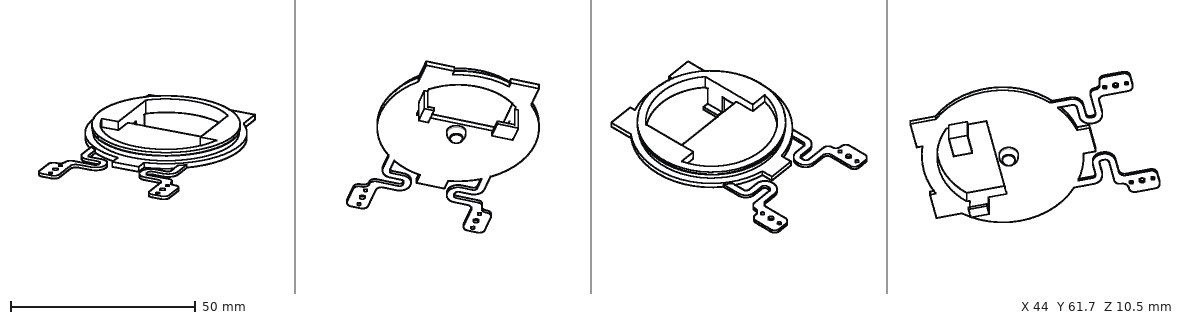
import cadquery as cq
import math

flange_diameter = 44.0
flange_thickness = 1.5

neck_diameter = 39.75
neck_height = 1.5
lip_diameter = 40.3
lip_height = 1.0
ring_top = flange_thickness + neck_height + lip_height

recess_diameter = 35.7
window_half_width = 12.4
window_front_y = 1.75
shoulder_front_y = -4.15

tab_width = 8.0
front_tab_end_y = -25.0
rear_tab_end_y = 22.13
rear_tab_center_x = 12.05

leg_thickness = 1.0
leg_depth = 6.5
leg_front_y = 6.85
leg_rear_y = 12.0
left_foot_length = 6.0
right_foot_length = 2.75

button_center_y = -1.65
button_diameter = 5.25
button_rim_height = 0.55
button_rounding = 1.85
button_tip_diameter = 3.5
button_height = 2.55

arm_thickness = 0.9
arm_width = 2.0
arm_outer_x = 14.45
arm_inner_x = arm_outer_x - arm_width
arm_root_y = -14.0
strip_width = 1.85
upper_strip_rear_y = -23.2
upper_strip_front_y = upper_strip_rear_y - strip_width
lower_strip_rear_y = -27.7
lower_strip_front_y = lower_strip_rear_y - strip_width
loop_outer_x = 5.25
loop_inner_x = loop_outer_x + arm_width
bend_inner_radius = 1.0
bend_outer_radius = bend_inner_radius + arm_width

pad_inner_x = 13.6
pad_width = 6.0
pad_outer_x = pad_inner_x + pad_width
pad_neck_x = 16.05
pad_rear_y = -31.0
pad_front_y = -39.6
pad_corner_radius = 1.6
pad_hole_x = 16.2
pad_hole_center_y = -35.1
pad_hole_spacing = 3.0
pad_hole_diameter = 1.5
pad_small_hole_diameter = 1.0


def box(x_range, y_range, z_range):
    """Axis-aligned block between the given limits."""
    size = [high - low for low, high in (x_range, y_range, z_range)]
    corner = (x_range[0], y_range[0], z_range[0])
    return cq.Workplane("XY").box(*size, centered=False).translate(corner)


def disc(diameter, bottom, height):
    """Upright cylinder on the ring axis."""
    return cq.Workplane("XY").workplane(offset=bottom).circle(diameter / 2).extrude(height)


def make_flange():
    """Round plate with one front tab and two rear tabs."""
    half_tab = tab_width / 2
    thickness = (0, flange_thickness)
    flange = disc(flange_diameter, 0, flange_thickness)
    flange = flange.union(box((-half_tab, half_tab), (front_tab_end_y, 0), thickness))
    for center_x in (-rear_tab_center_x, rear_tab_center_x):
        tab_sides = (center_x - half_tab, center_x + half_tab)
        flange = flange.union(box(tab_sides, (0, rear_tab_end_y), thickness))
    return flange


def make_ring():
    """Solid neck and lip before the recess is cut."""
    neck = disc(neck_diameter, flange_thickness, neck_height)
    return neck.union(disc(lip_diameter, flange_thickness + neck_height, lip_height))


def make_recess():
    """Space inside the ring, without the two shoulders beside the window."""
    radius = recess_diameter / 2
    recess = disc(recess_diameter, flange_thickness, ring_top - flange_thickness)
    heights = (flange_thickness, ring_top)
    for sides in ((-radius, -window_half_width), (window_half_width, radius)):
        recess = recess.cut(box(sides, (shoulder_front_y, radius), heights))
    return recess


def make_window():
    """Opening through the floor, bounded at the rear by the recess wall."""
    sides = (-window_half_width, window_half_width)
    window = box(sides, (window_front_y, recess_diameter / 2), (0, flange_thickness))
    return window.intersect(disc(recess_diameter, 0, flange_thickness))


def make_leg(side, foot_length):
    """L-shaped leg; side is -1 or 1, and its foot points towards the middle."""
    inner_x = window_half_width
    outer_x = inner_x + leg_thickness
    foot_x = outer_x - foot_length
    foot_top = leg_thickness - leg_depth
    profile = [
        (outer_x, 0),
        (outer_x, -leg_depth),
        (foot_x, -leg_depth),
        (foot_x, foot_top),
        (inner_x, foot_top),
        (inner_x, 0),
    ]
    points = [(side * x, z) for x, z in profile]
    leg = cq.Workplane("XZ").polyline(points).close().extrude(leg_rear_y - leg_front_y)
    return leg.translate((0, leg_rear_y, 0))


def make_button():
    """Button with a rim, a rounded shoulder and a narrow tip."""
    rim_radius = button_diameter / 2
    tip_radius = button_tip_diameter / 2
    arc_center_radius = rim_radius - button_rounding
    end_angle = math.acos((tip_radius - arc_center_radius) / button_rounding)

    def rounding_point(angle):
        radius = arc_center_radius + button_rounding * math.cos(angle)
        return (radius, -button_rim_height - button_rounding * math.sin(angle))

    button = (
        cq.Workplane("XZ")
        .lineTo(rim_radius, 0)
        .lineTo(rim_radius, -button_rim_height)
        .threePointArc(rounding_point(end_angle / 2), rounding_point(end_angle))
        .lineTo(tip_radius, -button_height)
        .lineTo(0, -button_height)
        .close()
        .revolve(360, (0, 0), (0, 1))
    )
    return button.translate((0, button_center_y, 0))


def make_arm():
    """Meandering strip and pad on the +X side, with rounded bends."""
    corners = [
        (arm_outer_x, arm_root_y, 0),
        (arm_outer_x, upper_strip_front_y, bend_outer_radius),
        (loop_inner_x, upper_strip_front_y, bend_inner_radius),
        (loop_inner_x, lower_strip_rear_y, bend_inner_radius),
        (pad_neck_x, lower_strip_rear_y, pad_corner_radius),
        (pad_neck_x, pad_rear_y, pad_corner_radius),
        (pad_outer_x, pad_rear_y, pad_corner_radius),
        (pad_outer_x, pad_front_y, pad_corner_radius),
        (pad_inner_x, pad_front_y, pad_corner_radius),
        (pad_inner_x, lower_strip_front_y, pad_corner_radius),
        (loop_outer_x, lower_strip_front_y, bend_outer_radius),
        (loop_outer_x, upper_strip_rear_y, bend_outer_radius),
        (arm_inner_x, upper_strip_rear_y, bend_inner_radius),
        (arm_inner_x, arm_root_y, 0),
    ]
    points = [(x, y) for x, y, _ in corners]
    arm = cq.Workplane("XY").polyline(points).close().extrude(arm_thickness)
    for x, y, radius in corners:
        if radius > 0:
            corner_edge = cq.selectors.NearestToPointSelector((x, y, arm_thickness / 2))
            arm = arm.edges("|Z").edges(corner_edge).fillet(radius)
    small_holes = [
        (pad_hole_x, pad_hole_center_y - pad_hole_spacing),
        (pad_hole_x, pad_hole_center_y + pad_hole_spacing),
    ]
    drill = cq.Workplane("XY").pushPoints(small_holes).circle(pad_small_hole_diameter / 2)
    arm = arm.cut(drill.extrude(arm_thickness))
    drill = cq.Workplane("XY").center(pad_hole_x, pad_hole_center_y).circle(pad_hole_diameter / 2)
    return arm.cut(drill.extrude(arm_thickness))


arm = make_arm()
body = make_flange().union(make_ring()).cut(make_recess()).cut(make_window())
body = body.union(make_leg(-1, left_foot_length)).union(make_leg(1, right_foot_length))
body = body.union(make_button()).union(arm).union(arm.mirror("YZ"))
result = body